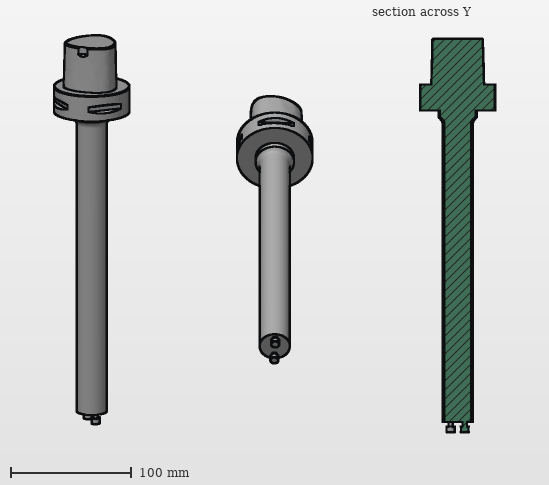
import cadquery as cq
import math

TOTAL_LENGTH = 326.0
SHANK_LENGTH = 37.8
FLANGE_THICKNESS = 22.0
COLLAR_LENGTH = 5.2
PIN_PROJECTION = 8.5

FLANGE_TOP = TOTAL_LENGTH - SHANK_LENGTH
FLANGE_BOTTOM = FLANGE_TOP - FLANGE_THICKNESS
COLLAR_BOTTOM = FLANGE_BOTTOM - COLLAR_LENGTH

FLANGE_RADIUS = 63.0 / 2
FLANGE_CHAMFER = 0.5
COLLAR_RADIUS = 32.0 / 2
BAR_RADIUS = 25.0 / 2
SHOULDER_DROP = 1.5

SHANK_MEAN_RADIUS = 44.0 / 2
LOBE_HEIGHT = 1.47
SHANK_TAPER = 1 / 40
SHANK_CHAMFER = 1.0
OUTLINE_POINTS = 48

NOTCH_RADIUS = 5.5
NOTCH_DEPTH = 2.0
NOTCH_STRAIGHT = 6.0
NOTCH_POINT_HEIGHT = 5.0

GROOVE_HEIGHT = 7.2
GROOVE_FLOOR_HEIGHT = 4.0
GROOVE_DEPTH = 3.5
GROOVE_DROP = 11.7
GROOVE_CENTRE = FLANGE_TOP - GROOVE_DROP

PIN_OFFSET = 6.0
PIN_NECK_RADIUS = 4.0 / 2
PIN_HEAD_RADIUS = 7.0 / 2
PIN_HEAD_HEIGHT = 5.0
PIN_EDGE_CHAMFER = 0.3


def turned_body():
    """Flange, collar, flared neck and long bar as one revolved profile."""
    flare_radius = COLLAR_RADIUS - SHOULDER_DROP
    flare_top = COLLAR_BOTTOM - SHOULDER_DROP
    arc_radius = (flare_radius - BAR_RADIUS) / (1 - math.cos(math.radians(45)))
    flare_start = flare_top - arc_radius * math.sin(math.radians(45))
    half_sweep = math.radians(22.5)
    flare_middle = (
        BAR_RADIUS + arc_radius * (1 - math.cos(half_sweep)),
        flare_start + arc_radius * math.sin(half_sweep),
    )
    profile = (
        cq.Workplane("XZ")
        .moveTo(0, PIN_PROJECTION)
        .lineTo(BAR_RADIUS, PIN_PROJECTION)
        .lineTo(BAR_RADIUS, flare_start)
        .threePointArc(flare_middle, (flare_radius, flare_top))
        .lineTo(COLLAR_RADIUS, COLLAR_BOTTOM)
        .lineTo(COLLAR_RADIUS, FLANGE_BOTTOM)
        .lineTo(FLANGE_RADIUS, FLANGE_BOTTOM)
        .lineTo(FLANGE_RADIUS, FLANGE_TOP - FLANGE_CHAMFER)
        .lineTo(FLANGE_RADIUS - FLANGE_CHAMFER, FLANGE_TOP)
        .lineTo(0, FLANGE_TOP)
        .close()
    )
    return profile.revolve(360, (0, 0, 0), (0, 1, 0))


def lobed_outline(mean_radius):
    """Closed three-lobed curve; the flats face -Y and the two upper diagonals."""

    def point(turn):
        angle = 2 * math.pi * turn
        along = (
            mean_radius * math.cos(angle)
            - 2 * LOBE_HEIGHT * math.cos(2 * angle)
            + LOBE_HEIGHT * math.cos(4 * angle)
        )
        across = (
            mean_radius * math.sin(angle)
            + 2 * LOBE_HEIGHT * math.sin(2 * angle)
            + LOBE_HEIGHT * math.sin(4 * angle)
        )
        return across, -along

    return [point(i / OUTLINE_POINTS) for i in range(OUTLINE_POINTS)]


def lobed_section(height, bottom_radius, top_radius):
    """Solid lofted between two lobed curves."""
    return (
        cq.Workplane("XY")
        .spline(lobed_outline(bottom_radius), periodic=True)
        .close()
        .workplane(offset=height)
        .spline(lobed_outline(top_radius), periodic=True)
        .close()
        .loft(ruled=True, combine=True)
    )


def shank():
    """Tapered shank with a chamfered end."""
    taper_length = SHANK_LENGTH - SHANK_CHAMFER
    end_radius = SHANK_MEAN_RADIUS - taper_length * SHANK_TAPER
    taper = lobed_section(taper_length, SHANK_MEAN_RADIUS, end_radius)
    chamfer = lobed_section(SHANK_CHAMFER, end_radius, end_radius - SHANK_CHAMFER)
    chamfer = chamfer.translate((0, 0, taper_length))
    return taper.union(chamfer).translate((0, 0, FLANGE_TOP))


def notch_cutter():
    """Upright bore with a conical point, biting shallowly into the -Y flat."""
    flat_distance = SHANK_MEAN_RADIUS - LOBE_HEIGHT - SHANK_LENGTH * SHANK_TAPER
    shoulder = TOTAL_LENGTH - NOTCH_STRAIGHT
    bore = (
        cq.Workplane("XZ")
        .moveTo(0, TOTAL_LENGTH)
        .lineTo(NOTCH_RADIUS, TOTAL_LENGTH)
        .lineTo(NOTCH_RADIUS, shoulder)
        .lineTo(0, shoulder - NOTCH_POINT_HEIGHT)
        .close()
        .revolve(360, (0, 0, 0), (0, 1, 0))
    )
    return bore.translate((0, NOTCH_DEPTH - NOTCH_RADIUS - flat_distance, 0))


def groove_cutter(angle):
    """Straight trapezoidal groove across the flange rim at the given angle."""
    floor = FLANGE_RADIUS - GROOVE_DEPTH
    groove = (
        cq.Workplane("XZ")
        .moveTo(floor, GROOVE_CENTRE - GROOVE_FLOOR_HEIGHT / 2)
        .lineTo(FLANGE_RADIUS, GROOVE_CENTRE - GROOVE_HEIGHT / 2)
        .lineTo(FLANGE_RADIUS, GROOVE_CENTRE + GROOVE_HEIGHT / 2)
        .lineTo(floor, GROOVE_CENTRE + GROOVE_FLOOR_HEIGHT / 2)
        .close()
        .extrude(FLANGE_RADIUS, both=True)
    )
    return groove.rotate((0, 0, 0), (0, 0, 1), angle)


def headed_pin(x, y):
    """Slim pin under the bar with a wider chamfered head at its free end."""
    head = cq.Workplane("XY").circle(PIN_HEAD_RADIUS).extrude(PIN_HEAD_HEIGHT)
    head = head.faces("<Z").chamfer(PIN_EDGE_CHAMFER)
    neck = cq.Workplane("XY").circle(PIN_NECK_RADIUS).extrude(PIN_PROJECTION)
    return head.union(neck).translate((x, y, 0))


body = turned_body().union(shank()).cut(notch_cutter())

for groove_angle in (45, 135, 225, 315):
    body = body.cut(groove_cutter(groove_angle))

for side in (1, -1):
    body = body.union(headed_pin(side * PIN_OFFSET, -side * PIN_OFFSET))

result = body